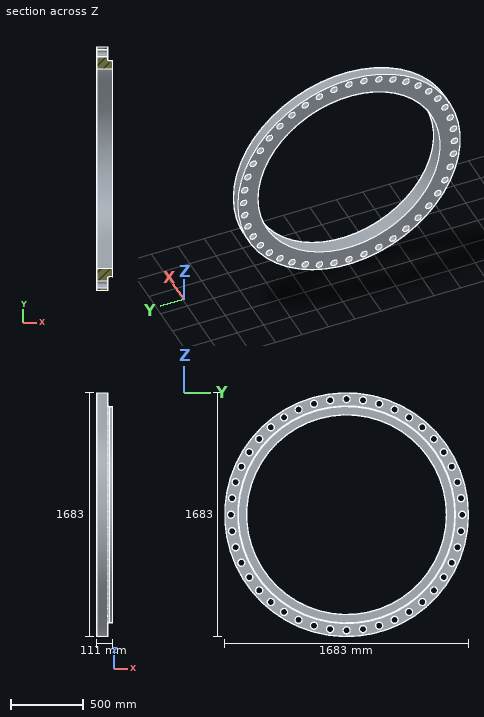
import cadquery as cq

outer_diameter = 1683.0
bore_diameter = 1376.0
flange_thickness = 77.0
total_thickness = 111.0

shoulder_root_diameter = 1503.0
shoulder_root_length = 10.0
shoulder_diameter = 1493.0

bolt_circle_diameter = 1595.0
bolt_hole_diameter = 47.0
bolt_count = 44


def disc(diameter, start, end):
    """Solid disc about the X axis between two X positions."""
    return cq.Workplane("YZ", origin=(start, 0, 0)).circle(diameter / 2).extrude(end - start)


def tapered_ring_blank(start_diameter, end_diameter, start, end):
    """Solid cone frustum about the X axis between two X positions."""
    profile = [
        (start, 0),
        (start, start_diameter / 2),
        (end, end_diameter / 2),
        (end, 0),
    ]
    return cq.Workplane("XY").polyline(profile).close().revolve(360, (0, 0, 0), (1, 0, 0))


def bolt_holes():
    """Cutters for the evenly spaced through holes, one of them on the Y axis."""
    return (
        cq.Workplane("YZ")
        .polarArray(bolt_circle_diameter / 2, 0, 360, bolt_count)
        .circle(bolt_hole_diameter / 2)
        .extrude(flange_thickness)
    )


shoulder_start = flange_thickness + shoulder_root_length
flange = disc(outer_diameter, 0, flange_thickness)
shoulder_root = tapered_ring_blank(
    shoulder_root_diameter, shoulder_diameter, flange_thickness, shoulder_start
)
shoulder = disc(shoulder_diameter, shoulder_start, total_thickness)
bore = disc(bore_diameter, 0, total_thickness)

result = flange.union(shoulder_root).union(shoulder).cut(bore).cut(bolt_holes())